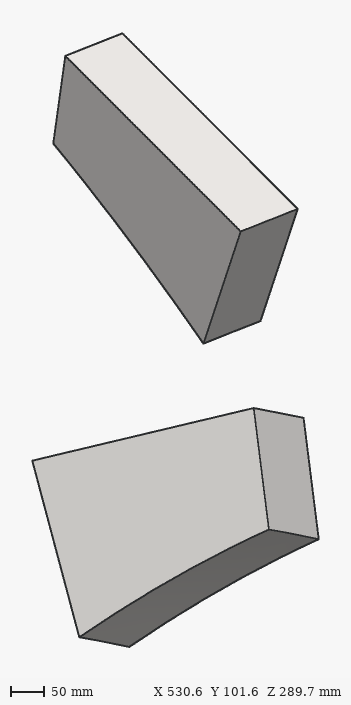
import cadquery as cq
import math

overall_length = 530.62
thickness = 101.6
overall_height = 289.73
inner_end_angle = 10.0
outer_end_angle = 20.0
inner_end_height = 193.0

inner_slope = math.tan(math.radians(inner_end_angle))
outer_slope = math.tan(math.radians(outer_end_angle))

top_z = (overall_length - inner_end_height * inner_slope) / (outer_slope - inner_slope)
inner_bottom_z = top_z - inner_end_height
outer_bottom_z = top_z - overall_height
inner_bottom_x = inner_bottom_z * inner_slope
outer_bottom_x = outer_bottom_z * outer_slope

half_thickness = thickness / 2
corner_drop = inner_bottom_z - outer_bottom_z
corner_mean_z = (inner_bottom_z + outer_bottom_z) / 2
sphere_centre_z = corner_mean_z - (outer_bottom_x**2 - inner_bottom_x**2) / (2 * corner_drop)
sphere_radius = math.hypot(inner_bottom_x, half_thickness, inner_bottom_z - sphere_centre_z)


def make_wedge():
    """Flat-sided wedge between the end planes, reaching below the spherical underside."""
    base_z = outer_bottom_z - thickness
    outline = [
        (base_z * inner_slope, base_z),
        (base_z * outer_slope, base_z),
        (top_z * outer_slope, top_z),
        (top_z * inner_slope, top_z),
    ]
    return cq.Workplane("XZ").polyline(outline).close().extrude(half_thickness, both=True)


def make_underside_sphere():
    """Ball whose surface forms the underside."""
    return cq.Workplane("XY").sphere(sphere_radius).translate((0, 0, sphere_centre_z))


block = make_wedge().cut(make_underside_sphere())
result = block.translate((-inner_bottom_x, 0, -top_z))